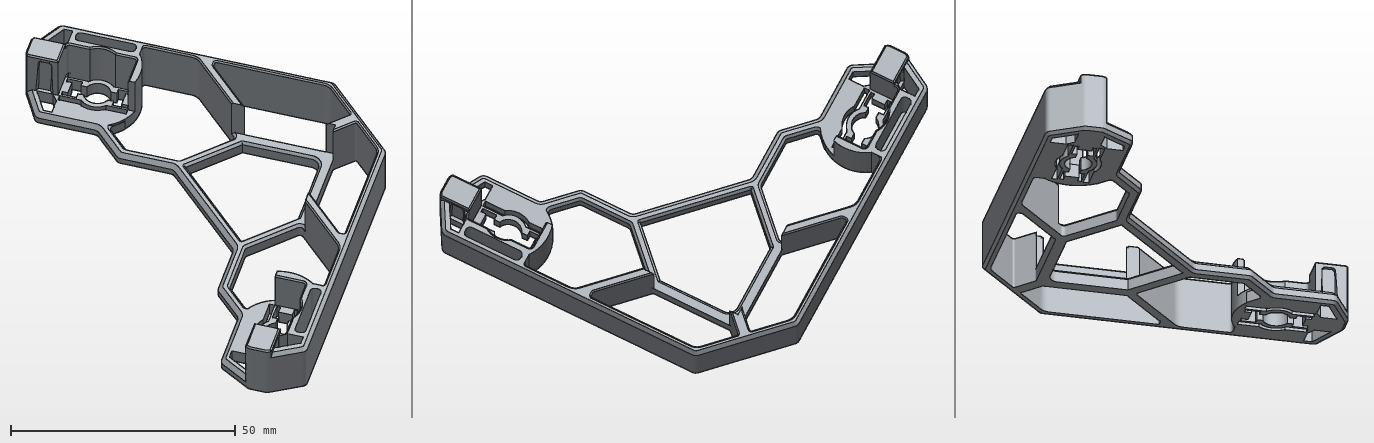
import cadquery as cq
import math


ROOT2 = math.sqrt(2)

side = 85.0
frame_height = 3.2
wall_height = 12.7
hook_height = 14.1
rise_start = 1.7

bottom_chamfer = 0.7
frame_chamfer = 1.0
wall_chamfer = 0.85
hook_chamfer = 0.3
rib_chamfer = 0.6
wall_inner_chamfer = 0.3
corner_radius = 0.85
wall_corner_radius = 3.0
outline_radius = 1.7
window_corner_radius = 2.3
rib_corner_radius = 0.4

axis_depth = 9.99
arm_width = 2 * axis_depth
tip_half_width = 2.1
tip_slope = math.tan(math.radians(30))
corner_cut = 17.0
inner_side = 26.8
shoulder_sum = 86.1
brace_sum = 73.3

wall = 1.7
rib = 2.55
window_outer = 12.9
window_inner = window_outer + rib
tall_rib_inner_sum = 47.1
tall_rib_outer_sum = 50.0
low_rib_inner_difference = 18.3
low_rib_outer_difference = 21.6
corner_rib_half_difference = 1.95
tall_rib_root_across = 44.1

hook_length = 7.7
hook_half_width = 3.0
seat_center = 16.0
seat_radius = axis_depth
seat_edge = 24.1
pocket_end = 24.0
pocket_half_width = 4.25
pocket_corner_radius = 0.8
pocket_bulge_radius = 5.2
slit_half_length = 7.9
spring_half_width = 3.0
spring_bulge_radius = 4.2
opening_half_length = 7.65
opening_half_width = 2.5
neck_half_length = 4.2
neck_half_width = 1.3
bore_radius = 3.1
lug_half_width = 1.6
lug_length = 1.9

slot_start = 8.9
slot_end = 22.9
slot_width = 2.5
slot_radius = 1.0

tip_web_start = 2.8
tip_opening_end = 7.8
tip_opening_mouth_end = 6.55
gusset_half_width = 4.7

recess_depth = 0.85
recess_top = 13.0
recess_shoulder = 0.5
recess_top_start = 3.15
recess_top_end = 6.2
recess_base_start = 2.55
recess_base_end = 6.55
recess_floor_start = 3.0
recess_floor_end = 5.7


def mirrored(points):
    """Add the reflection of a half outline about the diagonal."""
    return points + [(depth, across) for across, depth in reversed(points)]


def prism(points, height, base=0.0):
    """Upright solid over an outline of (across, depth) points."""
    outline = [(-across, -depth) for across, depth in points]
    return cq.Workplane("XY").workplane(offset=base).polyline(outline).close().extrude(height - base)


def block(start, end, near, far, height, base=0.0):
    """Upright box from start to end along the left arm and from near to far in depth."""
    corners = [(side - start, near), (side - end, near), (side - end, far), (side - start, far)]
    return prism(corners, height, base)


def centered_block(start, end, half_width, height, base=0.0):
    return block(start, end, axis_depth - half_width, axis_depth + half_width, height, base)


def seat_disc(radius, height, base=0.0):
    plane = cq.Workplane("XY", origin=(seat_center - side, -axis_depth, base))
    return plane.circle(radius).extrude(height - base)


def reflect(solid):
    return solid.mirror(cq.Vector(1, -1, 0), (0, 0, 0))


def on_both_arms(solid):
    return solid.union(reflect(solid))


def round_corners(solid, corners, radius):
    """Round the upright edges of a solid at the given (across, depth) corners."""
    height = solid.faces(">Z").val().Center().z
    for across, depth in corners:
        edge_middle = (-across, -depth, height / 2)
        solid = solid.edges(cq.selectors.NearestToPointSelector(edge_middle)).fillet(radius)
    return solid


def flared(opening, chamfer):
    """Opening cutter that also chamfers the top edge of the opening."""
    rim = opening.faces(">Z").wires().toPending().extrude(chamfer, taper=-45)
    return opening.union(rim.translate((0, 0, -chamfer)))


def outer_prism(height, base=0.0):
    tip_slant = (axis_depth - tip_half_width) * tip_slope
    half = [
        (corner_cut, 0),
        (side - tip_slant, 0),
        (side, axis_depth - tip_half_width),
        (side, axis_depth + tip_half_width),
        (side - tip_slant, arm_width),
        (shoulder_sum - arm_width, arm_width),
        (shoulder_sum - inner_side, inner_side),
        (brace_sum - inner_side, inner_side),
    ]
    body = prism(mirrored(half), height, base)
    return body.edges("|Z").fillet(outline_radius)


def large_opening(height):
    """Opening between the seat, the back wall and the ribs, before the seat's round end is added."""
    rib_corner = (tall_rib_outer_sum + low_rib_outer_difference) / 2
    foot_depth = inner_side - rib
    shoulder_inner_sum = shoulder_sum - rib * ROOT2
    tangent_difference = side - seat_center - axis_depth - seat_radius * ROOT2
    left_corner = (shoulder_inner_sum + tangent_difference) / 2
    seat_across = side - seat_edge
    points = [
        (seat_across, wall),
        (tall_rib_outer_sum - wall, wall),
        (rib_corner, tall_rib_outer_sum - rib_corner),
        (foot_depth + low_rib_outer_difference, foot_depth),
        (shoulder_inner_sum - foot_depth, foot_depth),
        (left_corner, shoulder_inner_sum - left_corner),
        (seat_across, seat_across - tangent_difference),
    ]
    rib_root = points[1]
    others = [point for point in points if point != rib_root]
    opening = round_corners(prism(points, height), [rib_root], wall_corner_radius)
    return round_corners(opening, others, corner_radius)


def corner_opening():
    cut_inner_sum = corner_cut + wall * ROOT2
    corner_across = (cut_inner_sum + corner_rib_half_difference) / 2
    points = [
        (tall_rib_root_across, wall),
        (cut_inner_sum - wall, wall),
        (corner_across, cut_inner_sum - corner_across),
        (window_outer + corner_rib_half_difference, window_outer),
        (tall_rib_inner_sum - window_outer, window_outer),
        (tall_rib_root_across, tall_rib_inner_sum - tall_rib_root_across),
    ]
    cut_corner = points[1]
    others = [point for point in points if point != cut_corner]
    opening = round_corners(prism(points, wall_height), [cut_corner], wall_corner_radius)
    return round_corners(opening, others, rib_corner_radius)


def window():
    brace_inner_sum = brace_sum - rib * ROOT2
    lower = (brace_inner_sum + low_rib_inner_difference) / 2
    half = [
        (window_inner + low_rib_inner_difference, window_inner),
        (lower, brace_inner_sum - lower),
    ]
    opening = prism([(window_inner, window_inner)] + mirrored(half), frame_height)
    return opening.edges("|Z").edges(">(1,1,0)").fillet(window_corner_radius)


def tip_openings():
    foot = axis_depth - wall
    slant_end = tip_web_start + (foot - hook_half_width) * tip_slope
    profile = [
        (tip_web_start, hook_half_width),
        (tip_opening_mouth_end, hook_half_width),
        (tip_opening_end, gusset_half_width),
        (tip_opening_end, foot),
        (slant_end, foot),
    ]
    openings = cq.Workplane("XY")
    for direction in (-1, 1):
        points = [(side - along, axis_depth + direction * offset) for along, offset in profile]
        openings = openings.add(prism(points, wall_height))
    return openings.combine()


def seat_pocket():
    """Space over the seat, bulged around the bore and open towards the inside of the bracket."""
    pocket = block(hook_length, pocket_end, axis_depth - pocket_half_width, arm_width, wall_height)
    pocket = pocket.edges("|Z").fillet(pocket_corner_radius)
    return pocket.union(seat_disc(pocket_bulge_radius, wall_height))


def tall_zone():
    """Space of one arm that is allowed to rise above the low frame."""
    along_back = [(0, 0), (side, 0), (side, window_outer), (window_outer, window_outer)]
    zone = prism(along_back, wall_height)
    zone = zone.cut(block(0, hook_length, axis_depth - hook_half_width, arm_width, wall_height))
    return zone.cut(flared(seat_pocket(), wall_inner_chamfer))


def slot():
    body = block(slot_start, slot_end, wall, wall + slot_width, wall_height, frame_height)
    return body.edges("|Z").fillet(slot_radius)


def spring_cutout():
    """Two slits beside the spring arms, and the shaped opening between the arms."""
    def span(half_length, half_width):
        return centered_block(
            seat_center - half_length, seat_center + half_length, half_width, frame_height
        )

    slits = span(slit_half_length, pocket_half_width).union(seat_disc(pocket_bulge_radius, frame_height))
    springs = span(slit_half_length, spring_half_width)
    springs = springs.union(seat_disc(spring_bulge_radius, frame_height))
    opening = span(opening_half_length, opening_half_width)
    opening = opening.cut(span(neck_half_length, opening_half_width))
    opening = opening.union(span(neck_half_length, neck_half_width))
    opening = opening.union(seat_disc(bore_radius, frame_height))
    return slits.cut(springs).union(opening)


def lugs():
    first_end = hook_length + lug_length
    last_start = pocket_end - lug_length
    first = centered_block(hook_length, first_end, lug_half_width, frame_height)
    last = centered_block(last_start, pocket_end, lug_half_width, frame_height)
    return first.union(last)


def recess_outline(base_start, base_end):
    """Arch that narrows upwards, as (distance from the tip, height) points."""
    shoulder = recess_top - recess_shoulder
    return [
        (base_start, frame_height),
        (recess_top_start, shoulder),
        (recess_top_start + recess_shoulder, recess_top),
        (recess_top_end - recess_shoulder, recess_top),
        (recess_top_end, shoulder),
        (base_end, frame_height),
    ]


def hook():
    body = centered_block(0, hook_length, hook_half_width, hook_height, rise_start)
    body = body.intersect(outer_prism(hook_height, rise_start)).faces(">Z").chamfer(hook_chamfer)
    for direction in (-1, 1):
        face = cq.Workplane("XZ", origin=(-side, -axis_depth - direction * hook_half_width, 0))
        mouth = face.polyline(recess_outline(recess_base_start, recess_base_end)).close()
        floor = mouth.workplane(offset=-direction * recess_depth)
        floor = floor.polyline(recess_outline(recess_floor_start, recess_floor_end)).close()
        body = body.cut(floor.loft(ruled=True))
    return body


def seat_opening(height, chamfer):
    """Large opening with a chamfered top edge, leaving the round end of the seat untouched."""
    seat = seat_disc(seat_radius, height)
    seat = seat.union(block(hook_length, seat_edge, 0, axis_depth, height))
    return flared(large_opening(height), chamfer).cut(seat)


frame = outer_prism(frame_height).faces(">Z").chamfer(frame_chamfer)
frame = frame.faces("<Z").chamfer(bottom_chamfer)
frame = frame.cut(flared(window(), rib_chamfer))
frame = frame.cut(on_both_arms(seat_opening(frame_height, rib_chamfer)))

walls = outer_prism(wall_height, rise_start).faces(">Z").chamfer(wall_chamfer)
walls = walls.intersect(on_both_arms(tall_zone()))
walls = walls.cut(on_both_arms(seat_opening(wall_height, wall_inner_chamfer)))

result = frame.union(walls).union(on_both_arms(hook()))
for opening in (flared(corner_opening(), wall_inner_chamfer), tip_openings(), slot(), spring_cutout()):
    result = result.cut(on_both_arms(opening))
result = result.union(on_both_arms(lugs()))